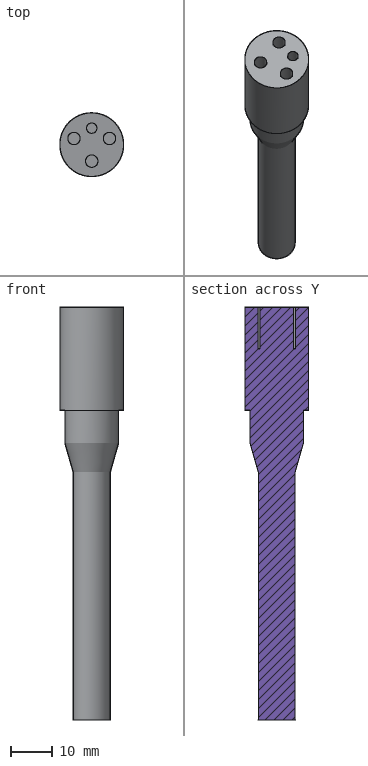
import cadquery as cq

total_height = 100.0
head_length = 25.0
collar_length = 8.0
taper_length = 7.0
head_bottom = total_height - head_length
collar_bottom = head_bottom - collar_length
cable_top = collar_bottom - taper_length

head_diameter = 15.5
collar_diameter = 13.0
cable_diameter = 9.0

contact_diameter = 3.0
key_diameter = 2.5
socket_depth = 10.0
side_contact_x = 4.3
side_contact_y = 1.5
middle_contact_y = -4.0
key_y = 4.0


def make_body():
    """Head, collar, tapered strain relief and cable, revolved about Z."""
    return (
        cq.Workplane("XZ")
        .moveTo(0, 0)
        .lineTo(cable_diameter / 2, 0)
        .lineTo(cable_diameter / 2, cable_top)
        .lineTo(collar_diameter / 2, collar_bottom)
        .lineTo(collar_diameter / 2, head_bottom)
        .lineTo(head_diameter / 2, head_bottom)
        .lineTo(head_diameter / 2, total_height)
        .lineTo(0, total_height)
        .close()
        .revolve(360, (0, 0), (0, 1))
    )


def make_sockets(centers, diameter):
    """Round cutters reaching from the top face down to the socket floor."""
    return (
        cq.Workplane("XY", origin=(0, 0, total_height))
        .pushPoints(centers)
        .circle(diameter / 2)
        .extrude(-socket_depth)
    )


contact_centers = [
    (-side_contact_x, side_contact_y),
    (0, middle_contact_y),
    (side_contact_x, side_contact_y),
]
key_centers = [(0, key_y)]

result = (
    make_body()
    .cut(make_sockets(contact_centers, contact_diameter))
    .cut(make_sockets(key_centers, key_diameter))
)